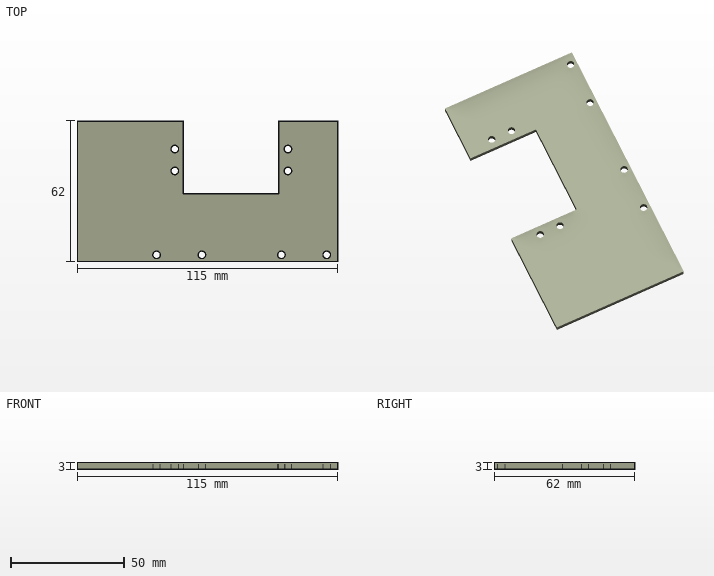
import cadquery as cq

length = 115.0
width = 62.0
thickness = 3.0

notch_left = 46.8
notch_width = 42.0
notch_depth = 32.0

hole_diameter = 3.2
front_hole_y = 3.0
front_pair_starts = (35.0, 90.0)
front_pair_spacing = 20.0
side_hole_columns = (43.0, 92.9)
side_hole_rows = (40.0, 49.7)


def make_plate():
    """Flat plate with a rectangular notch in its back edge."""
    plate = cq.Workplane("XY").box(length, width, thickness, centered=False)
    notch = (
        cq.Workplane("XY")
        .box(notch_width, notch_depth, thickness, centered=False)
        .translate((notch_left, width - notch_depth, 0))
    )
    return plate.cut(notch)


def hole_centers():
    """Two pairs along the front edge and one pair on each side of the notch."""
    front = [
        (start + offset, front_hole_y)
        for start in front_pair_starts
        for offset in (0, front_pair_spacing)
    ]
    sides = [(x, y) for x in side_hole_columns for y in side_hole_rows]
    return front + sides


holes = (
    cq.Workplane("XY")
    .pushPoints(hole_centers())
    .circle(hole_diameter / 2)
    .extrude(thickness)
)
result = make_plate().cut(holes)